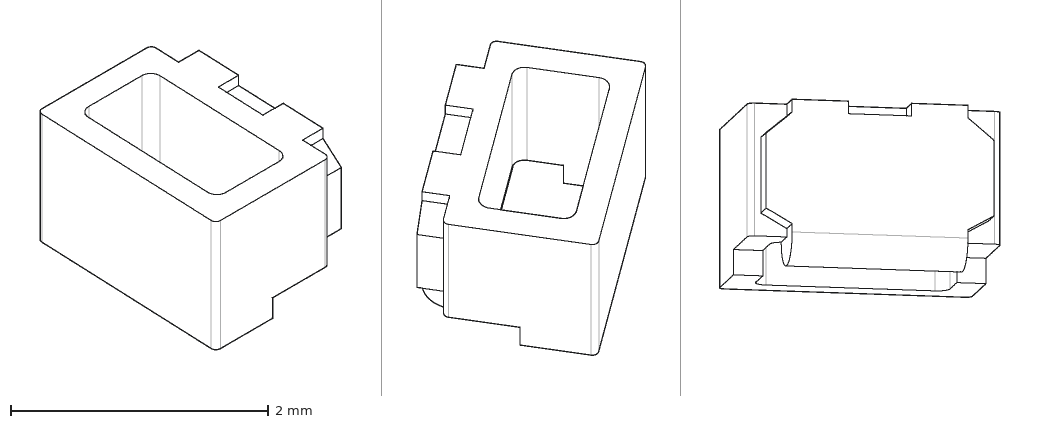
import cadquery as cq

body_width = 2.0
body_depth = 1.23
body_height = 1.25
body_corner_radius = 0.05

opening_width = 1.535
opening_depth = 0.772
opening_corner_radius = 0.1
front_wall = 0.232

foot_depth = 0.615
step_z = -1.05

total_depth = 1.45
tab_width = 1.805
neck_width = 1.392
shoulder_top_z = -0.1
side_top_z = -0.27
side_bottom_z = -0.868
shoulder_bottom_z = -0.985
bar_diameter = 0.45
bar_radius = bar_diameter / 2
bar_center_y = total_depth - bar_radius
bar_center_z = step_z

notch_width = 0.5
notch_height = 0.1


def make_block(width, y_start, y_end, z_bottom, z_top):
    """Block centred on X between the given Y and Z limits."""
    return (
        cq.Workplane("XY", origin=(0, (y_start + y_end) / 2, z_bottom))
        .rect(width, y_end - y_start)
        .extrude(z_top - z_bottom)
    )


def make_body():
    """Sleeve with rounded vertical corners and a raised rear underside."""
    sleeve = make_block(body_width, 0, body_depth, -body_height, 0)
    sleeve = sleeve.edges("|Z").fillet(body_corner_radius)
    step = make_block(body_width, foot_depth, body_depth, -body_height, step_z)
    opening = make_block(opening_width, front_wall, front_wall + opening_depth, -body_height, 0)
    opening = opening.edges("|Z").fillet(opening_corner_radius)
    return sleeve.cut(step).cut(opening)


def make_tab():
    """Rear plate with sloped shoulders and a notch in its top edge."""
    right_side = [
        (neck_width / 2, 0),
        (neck_width / 2, shoulder_top_z),
        (tab_width / 2, side_top_z),
        (tab_width / 2, side_bottom_z),
        (neck_width / 2, shoulder_bottom_z),
        (neck_width / 2, bar_center_z),
    ]
    left_side = [(-x, z) for x, z in reversed(right_side)]
    plate = (
        cq.Workplane("XZ", origin=(0, body_depth, 0))
        .polyline(right_side + left_side)
        .close()
        .extrude(body_depth - total_depth)
    )
    notch = make_block(notch_width, body_depth, total_depth, -notch_height, 0)
    return plate.cut(notch)


def make_bar():
    """Bar along X with a half-round section, hanging under the body and the tab."""
    bar_front_y = total_depth - bar_diameter
    return (
        cq.Workplane("YZ", origin=(-neck_width / 2, 0, 0))
        .moveTo(bar_front_y, bar_center_z)
        .threePointArc((bar_center_y, bar_center_z - bar_radius), (total_depth, bar_center_z))
        .close()
        .extrude(neck_width)
    )


result = make_body().union(make_tab()).union(make_bar())